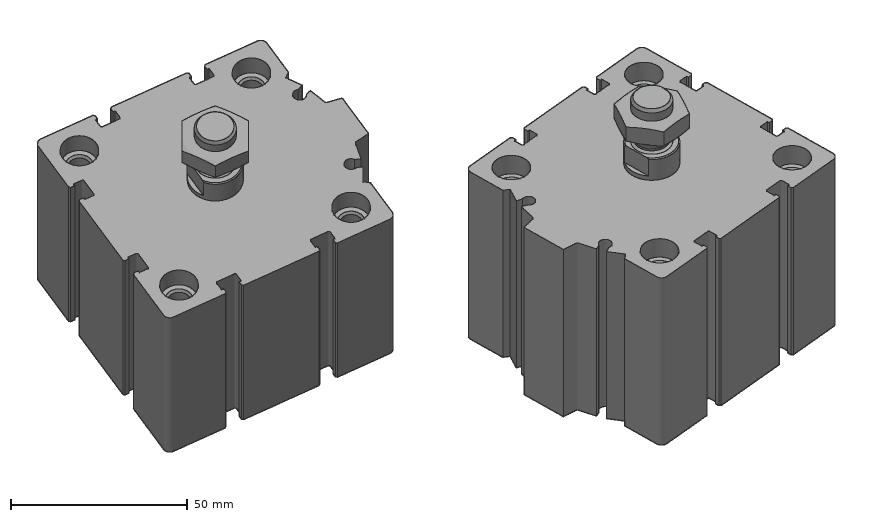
import cadquery as cq
import math

body_width = 75.0
total_depth = 83.5
total_height = 85.0
rod_reach = 24.0
corner_radius = 2.0

ridge_top_half = 7.5
ridge_root_half = 8.3
ridge_root_y = 41.05
ridge_root_radius = 0.7
shoulder_inner_x = 13.9
shoulder_inner_y = 39.6
shoulder_outer_x = 17.0
shoulder_outer_y = 38.6
valley_x = 21.9
valley_y = 35.8
valley_edge_x = 23.2

keyhole_angle = 22.0
keyhole_distance = 38.9
keyhole_diameter = 3.9
keyhole_neck = 3.0
keyhole_neck_length = 5.1

t_slot_offset = 15.4
t_slot_width = 6.5
t_slot_neck = 5.1
t_slot_depth = 4.9
t_slot_lip = 1.8
t_slot_lip_chamfer = 0.4
t_slot_floor_radius = 0.4

hole_pitch = 56.4
hole_diameter = 6.6
countersink_diameter = 8.0
counterbore_diameter = 11.0
counterbore_depth = 6.7

thread_diameter = 12.0
tip_diameter = 10.6
tip_chamfer_height = 1.0
thread_length = 12.6
neck_diameter = 10.2
neck_start = 14.9
neck_end = 15.55
flare_diameter = 12.0
shoulder_drop = 16.1
rod_diameter = 16.0
shoulder_chamfer = 0.3
rod_flats_width = 13.0
rod_collar_height = 1.5

nut_width = 18.95
nut_height = 5.95
nut_drop = 4.0
nut_face_diameter = 18.7
nut_chamfer_height = 0.4

half_width = body_width / 2
ridge_y = total_depth - half_width
body_height = total_height - rod_reach


def housing_blank():
    """Square block with the stepped ridge along its +Y side."""
    block = (
        cq.Workplane("XY")
        .rect(body_width, body_width)
        .extrude(body_height)
        .edges("|Z")
        .fillet(corner_radius)
    )
    right_side = [
        (ridge_top_half, ridge_y),
        (ridge_root_half, ridge_root_y),
        (shoulder_inner_x, shoulder_inner_y),
        (shoulder_outer_x, shoulder_outer_y),
        (valley_x, valley_y),
    ]
    left_side = [(-x, y) for x, y in reversed(right_side)]
    ridge = cq.Workplane("XY").polyline(right_side + left_side).close().extrude(body_height)
    for side in (-1, 1):
        root = cq.selectors.NearestToPointSelector((side * ridge_root_half, ridge_root_y, body_height / 2))
        ridge = ridge.edges("|Z").edges(root).fillet(ridge_root_radius)
    recess = (
        cq.Workplane("XY")
        .polyline([
            (-valley_edge_x, half_width),
            (-valley_x, valley_y),
            (valley_x, valley_y),
            (valley_edge_x, half_width),
        ])
        .close()
        .extrude(body_height)
    )
    return block.cut(recess).union(ridge)


def keyhole_slot(angle):
    """Cutter for a keyhole slot, turned by angle from +Y about the rod axis."""
    bulb = (
        cq.Workplane("XY")
        .center(0, keyhole_distance)
        .circle(keyhole_diameter / 2)
        .extrude(body_height)
    )
    neck = (
        cq.Workplane("XY")
        .center(0, keyhole_distance + keyhole_neck_length / 2)
        .rect(keyhole_neck, keyhole_neck_length)
        .extrude(body_height)
    )
    return bulb.union(neck).rotate((0, 0, 0), (0, 0, 1), angle)


def t_slot(offset, angle):
    """Cutter for a T-slot with a chamfered mouth, made on the -Y side and turned by angle."""
    mouth_half = t_slot_neck / 2 + t_slot_lip_chamfer
    neck_half = t_slot_neck / 2
    wide_half = t_slot_width / 2
    lip_y = -half_width + t_slot_lip
    floor_y = -half_width + t_slot_depth
    right_side = [
        (mouth_half, -half_width),
        (neck_half, -half_width + t_slot_lip_chamfer),
        (neck_half, lip_y),
        (wide_half, lip_y),
        (wide_half, floor_y),
    ]
    left_side = [(-x, y) for x, y in reversed(right_side)]
    profile = cq.Workplane("XY").polyline(right_side + left_side).close().extrude(body_height)
    for side in (-1, 1):
        floor_corner = cq.selectors.NearestToPointSelector((side * wide_half, floor_y, body_height / 2))
        profile = profile.edges("|Z").edges(floor_corner).fillet(t_slot_floor_radius)
    return profile.translate((offset, 0, 0)).rotate((0, 0, 0), (0, 0, 1), angle)


def mounting_hole(x, y):
    """Cutter for a through hole with a counterbore and a 45 degree countersink in its floor."""
    floor = body_height - counterbore_depth
    hole_radius = hole_diameter / 2
    sink_radius = countersink_diameter / 2
    bore_radius = counterbore_diameter / 2
    return (
        cq.Workplane("XZ")
        .polyline([
            (0, 0),
            (hole_radius, 0),
            (hole_radius, floor - (sink_radius - hole_radius)),
            (sink_radius, floor),
            (bore_radius, floor),
            (bore_radius, body_height),
            (0, body_height),
        ])
        .close()
        .revolve(360, (0, 0, 0), (0, 1, 0))
        .translate((x, y, 0))
    )


def make_housing():
    housing = housing_blank()
    for angle in (-keyhole_angle, keyhole_angle):
        housing = housing.cut(keyhole_slot(angle))
    for side_angle in (-90, 0, 90):
        for offset in (-t_slot_offset, t_slot_offset):
            housing = housing.cut(t_slot(offset, side_angle))
    for x in (-hole_pitch / 2, hole_pitch / 2):
        for y in (-hole_pitch / 2, hole_pitch / 2):
            housing = housing.cut(mounting_hole(x, y))
    return housing


def make_rod():
    """Turned rod standing on the housing, with two wrench flats below its threaded end."""
    shoulder_z = total_height - shoulder_drop
    rod = (
        cq.Workplane("XZ")
        .polyline([
            (0, body_height),
            (rod_diameter / 2, body_height),
            (rod_diameter / 2, shoulder_z - shoulder_chamfer),
            (rod_diameter / 2 - shoulder_chamfer, shoulder_z),
            (flare_diameter / 2, shoulder_z),
            (neck_diameter / 2, total_height - neck_end),
            (neck_diameter / 2, total_height - neck_start),
            (thread_diameter / 2, total_height - thread_length),
            (thread_diameter / 2, total_height - tip_chamfer_height),
            (tip_diameter / 2, total_height),
            (0, total_height),
        ])
        .close()
        .revolve(360, (0, 0, 0), (0, 1, 0))
    )
    flats_base = body_height + rod_collar_height
    flats_height = shoulder_z - flats_base
    cut_depth = rod_diameter / 2
    for side in (-1, 1):
        flat = (
            cq.Workplane("XY", origin=(0, 0, flats_base))
            .center(0, side * (rod_flats_width + cut_depth) / 2)
            .rect(rod_diameter, cut_depth)
            .extrude(flats_height)
        )
        rod = rod.cut(flat)
    return rod


def make_nut():
    """Hexagon nut with corners on the Y axis, bevelled at both ends."""
    nut_corner_radius = nut_width / math.sqrt(3)
    base = total_height - nut_drop - nut_height
    hexagon = (
        cq.Workplane("XY")
        .polygon(6, 2 * nut_corner_radius)
        .extrude(nut_height)
        .rotate((0, 0, 0), (0, 0, 1), 90)
    )
    bevelled_disc = (
        cq.Workplane("XZ")
        .polyline([
            (thread_diameter / 2, 0),
            (nut_face_diameter / 2, 0),
            (nut_corner_radius, nut_chamfer_height),
            (nut_corner_radius, nut_height - nut_chamfer_height),
            (nut_face_diameter / 2, nut_height),
            (thread_diameter / 2, nut_height),
        ])
        .close()
        .revolve(360, (0, 0, 0), (0, 1, 0))
    )
    return hexagon.intersect(bevelled_disc).translate((0, 0, base))


housing = make_housing()
rod = make_rod()
nut = make_nut()

result = cq.Compound.makeCompound([housing.val(), rod.val(), nut.val()])